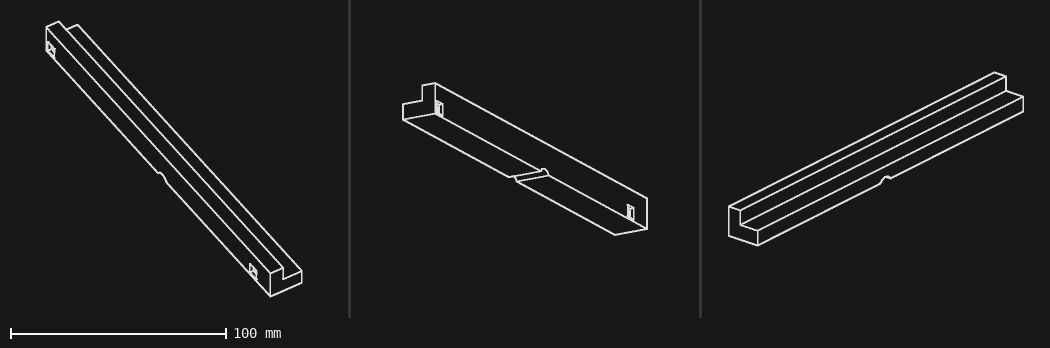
import cadquery as cq

length = 195.0
depth = 17.3
height = 15.0
wall_thickness = 7.0
shelf_height = 7.6

pocket_size = 5.7
pocket_depth = 2.0
hole_diameter = 3.3
first_pocket_x = 4.5
pocket_spacing = 175.5
pocket_z = 3.9

channel_x = 101.0
channel_radius = 4.0
channel_rise = 2.1


def make_bar():
    """Upright front wall with a lower shelf behind it."""
    wall = cq.Workplane("XY").box(length, wall_thickness, height, centered=False)
    shelf = (
        cq.Workplane("XY")
        .box(length, depth - wall_thickness, shelf_height, centered=False)
        .translate((0, wall_thickness, 0))
    )
    return wall.union(shelf)


def make_pocket_and_hole(x):
    """Square pocket from the front face, with a hole on through the wall to the shelf."""
    front = cq.Workplane("XZ").center(x, pocket_z)
    pocket = front.rect(pocket_size, pocket_size).extrude(-pocket_depth)
    hole = front.circle(hole_diameter / 2).extrude(-wall_thickness)
    return pocket.union(hole)


def make_channel():
    """Cylinder along Y whose top cuts into the underside."""
    return (
        cq.Workplane("XZ")
        .center(channel_x, channel_rise - channel_radius)
        .circle(channel_radius)
        .extrude(-depth)
    )


result = make_bar().cut(make_channel())
for pocket_x in (first_pocket_x, first_pocket_x + pocket_spacing):
    result = result.cut(make_pocket_and_hole(pocket_x))